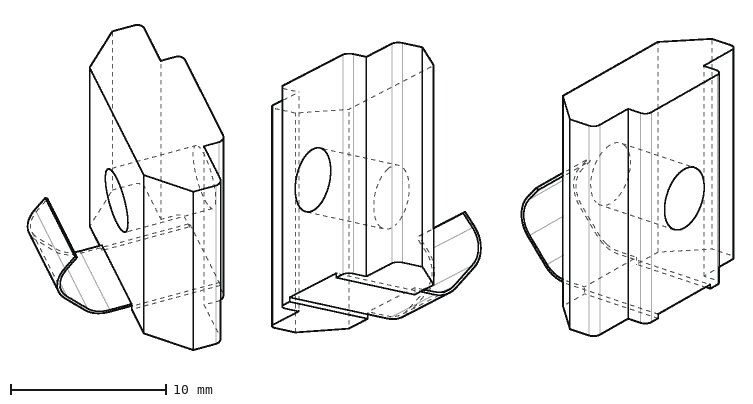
import cadquery as cq
import math

width = 15
height = 15
body_depth = 6
boss_width = 8.0
boss_depth = 1.5
chamfer = 2.48
corner_radius = 0.5
hole_diameter = 4.2

spring_width = 5.5
spring_thickness = 0.2
spring_bottom = 0.3
spring_reach = 5.1
foot_length = 1.5
bend_radius = 2.1
tip_length = 1.1
leg_angle = math.radians(50)


def make_body():
    half_width = width / 2
    half_boss = boss_width / 2
    shoulder = body_depth - boss_depth
    half_section = [
        (0, 0),
        (half_width - chamfer, 0),
        (half_width, chamfer),
        (half_width, shoulder),
        (half_boss, shoulder),
        (half_boss, body_depth),
        (0, body_depth),
    ]
    body = cq.Workplane("XY").polyline(half_section).mirrorY().extrude(height)
    outer_corners = [
        (side * x, y)
        for side in (-1, 1)
        for x, y in ((half_width, shoulder), (half_boss, body_depth))
    ]
    for x, y in outer_corners:
        edge = cq.selectors.NearestToPointSelector((x, y, height / 2))
        body = body.edges(edge).fillet(corner_radius)
    return body


def make_hole():
    return (
        cq.Workplane("XZ")
        .center(0, height / 2)
        .circle(hole_diameter / 2)
        .extrude(-body_depth)
    )


def make_foot_slot():
    """Slot through the bottom, below the spring foot."""
    return cq.Workplane("XY").box(
        spring_width, body_depth, spring_bottom, centered=(True, False, False)
    )


def make_spring():
    """Extrude the strip's side outline; it reaches out along -Y from the front face."""
    half_thickness = spring_thickness / 2
    inner_radius = bend_radius - half_thickness
    outer_radius = bend_radius + half_thickness
    run, rise = math.cos(leg_angle), math.sin(leg_angle)

    foot_y = -foot_length
    foot_z = spring_bottom + outer_radius
    return_y = -(spring_reach - outer_radius)
    return_z = foot_z + (foot_y - return_y) * rise / run

    def foot_bend(radius, angle):
        return (foot_y - radius * math.sin(angle), foot_z - radius * math.cos(angle))

    def return_bend(radius, side):
        return (return_y - radius * rise, return_z + side * radius * run)

    def tip_end(radius):
        y, z = return_bend(radius, 1)
        return (y + tip_length * run, z + tip_length * rise)

    outline = (
        cq.Workplane("YZ")
        .moveTo(0, spring_bottom)
        .lineTo(foot_y, spring_bottom)
        .threePointArc(foot_bend(outer_radius, leg_angle / 2), foot_bend(outer_radius, leg_angle))
        .lineTo(*return_bend(outer_radius, -1))
        .threePointArc((return_y - outer_radius, return_z), return_bend(outer_radius, 1))
        .lineTo(*tip_end(outer_radius))
        .lineTo(*tip_end(inner_radius))
        .lineTo(*return_bend(inner_radius, 1))
        .threePointArc((return_y - inner_radius, return_z), return_bend(inner_radius, -1))
        .lineTo(*foot_bend(inner_radius, leg_angle))
        .threePointArc(foot_bend(inner_radius, leg_angle / 2), foot_bend(inner_radius, 0))
        .lineTo(0, spring_bottom + spring_thickness)
        .close()
    )
    return outline.extrude(spring_width / 2, both=True)


result = make_body().cut(make_hole()).cut(make_foot_slot()).union(make_spring())